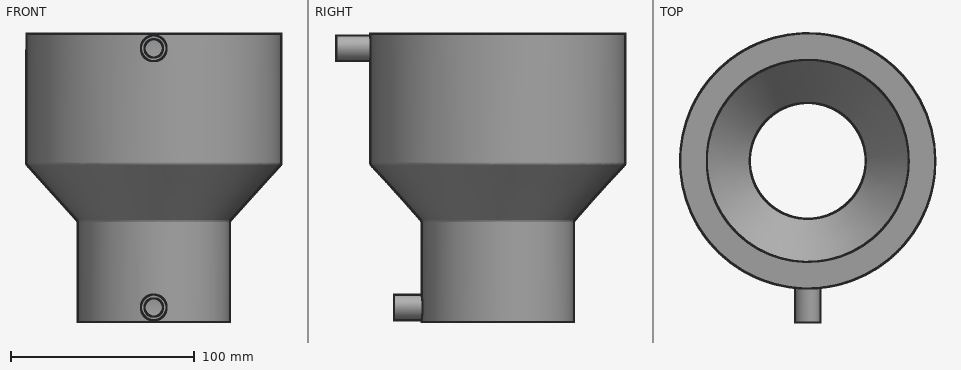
import cadquery as cq

total_height = 157.0
large_diameter = 139.0
large_bore = 110.0
small_diameter = 83.0
small_bore = 63.0

cone_bottom_z = 55.0
cone_top_z = 86.0
corner_radius = 2.0

sleeve_diameter = 14.0
sleeve_bore = 10.0
sleeve_end_offset = 8.0
large_sleeve_length = 18.5
small_sleeve_length = 15.0
sleeve_root_overlap = 2.0


def stepped_solid(large_dia, small_dia):
    """Solid of two coaxial cylinders joined by a cone, with both corners rounded."""
    solid = (
        cq.Workplane("XZ")
        .lineTo(small_dia / 2, 0)
        .lineTo(small_dia / 2, cone_bottom_z)
        .lineTo(large_dia / 2, cone_top_z)
        .lineTo(large_dia / 2, total_height)
        .lineTo(0, total_height)
        .close()
        .revolve(360, (0, 0), (0, 1))
    )
    box_bottom = (-large_dia, -large_dia, cone_bottom_z / 2)
    box_top = (large_dia, large_dia, (cone_top_z + total_height) / 2)
    cone_ends = cq.selectors.BoxSelector(box_bottom, box_top)
    return solid.edges("%CIRCLE").edges(cone_ends).fillet(corner_radius)


def y_rod(diameter, z, y_outer, y_inner):
    """Round rod along Y between two Y positions."""
    return (
        cq.Workplane("XZ", origin=(0, y_inner, z))
        .circle(diameter / 2)
        .extrude(y_inner - y_outer)
    )


def add_sleeve(part, body_radius, z, length):
    """Add a tubular sleeve whose bore ends blind on the curved body surface."""
    y_tip = -body_radius - length
    y_root = -body_radius + sleeve_root_overlap
    sleeve = y_rod(sleeve_diameter, z, y_tip, y_root)
    bore = y_rod(sleeve_bore, z, y_tip, y_root)
    return part.union(sleeve.cut(bore))


outer_body = stepped_solid(large_diameter, small_diameter)
inner_bore = stepped_solid(large_bore, small_bore)
reducer = outer_body.cut(inner_bore)

upper_sleeve_z = total_height - sleeve_end_offset
reducer = add_sleeve(reducer, large_diameter / 2, upper_sleeve_z, large_sleeve_length)
reducer = add_sleeve(reducer, small_diameter / 2, sleeve_end_offset, small_sleeve_length)

result = reducer